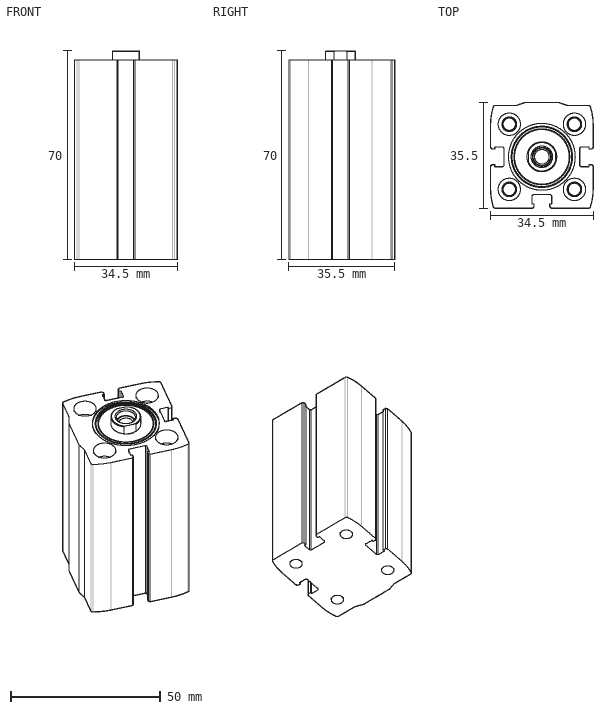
import cadquery as cq
import math

total_height = 70.0
rod_exposed = 3.0
body_height = total_height - rod_exposed
body_width = 34.5
half_width = body_width / 2
pad_rise = 1.0
pad_top_half = 5.7
pad_base_half = 8.55
flank_flat_half = 10.65
flank_radius = 20.3
corner_radius = 0.7

mouth_width = 5.2
mouth_depth = 1.5
mouth_round = 0.4
slot_width = 6.5
slot_depth = 4.55
slot_corner = 0.35

mount_offset = 10.9
mount_diameter = 4.1
lead_in_diameter = 4.9
counterbore_diameter = 7.5
counterbore_depth = 5.95

cap_diameter = 22.4
cap_bevel_diameter = 20.6
ring_diameter = 20.0
ring_bevel_diameter = 18.75
disc_diameter = 18.35
groove_depth = 0.6
land_recess = 0.2
disc_recess = 0.35

rod_diameter = 10.0
rod_bottom = 7.0
rod_chamfer = 0.2
flat_distance = 9.0
flat_length = 4.0
socket_diameter = 6.4
socket_depth = 2.5
socket_chamfer = 0.4
seat_diameter = 5.9
drill_diameter = 4.9
drill_depth = 12.6
point_half_angle = math.radians(60)


def extrusion_block():
    """Square block with curved flanks and a raised pad on +Y."""
    curve_rise = half_width - flank_flat_half

    def flank_inset(rise):
        return flank_radius - math.sqrt(flank_radius**2 - rise**2)

    corner_x = half_width - flank_inset(curve_rise)
    mid_x = half_width - flank_inset(curve_rise / 2)
    mid_y = flank_flat_half + curve_rise / 2
    block = (
        cq.Workplane("XY")
        .moveTo(-corner_x, -half_width)
        .lineTo(corner_x, -half_width)
        .threePointArc((mid_x, -mid_y), (half_width, -flank_flat_half))
        .lineTo(half_width, flank_flat_half)
        .threePointArc((mid_x, mid_y), (corner_x, half_width))
        .lineTo(-corner_x, half_width)
        .threePointArc((-mid_x, mid_y), (-half_width, flank_flat_half))
        .lineTo(-half_width, -flank_flat_half)
        .threePointArc((-mid_x, -mid_y), (-corner_x, -half_width))
        .close()
        .extrude(body_height)
    )
    block = block.edges("|Z and (<Y or >Y)").fillet(corner_radius)
    pad = (
        cq.Workplane("XY")
        .polyline([
            (-pad_base_half, 0),
            (-pad_base_half, half_width),
            (-pad_top_half, half_width + pad_rise),
            (pad_top_half, half_width + pad_rise),
            (pad_base_half, half_width),
            (pad_base_half, 0),
        ])
        .close()
        .extrude(body_height)
    )
    return block.union(pad)


def slot_cutter():
    """T-slot cutter for the -Y face, with a rounded mouth and bevelled floor corners."""
    mouth_half = mouth_width / 2
    slot_half = slot_width / 2
    face_y = -half_width
    neck_y = face_y + mouth_depth
    floor_y = face_y + slot_depth
    return (
        cq.Workplane("XY")
        .moveTo(-mouth_half - mouth_round, face_y)
        .radiusArc((-mouth_half, face_y + mouth_round), mouth_round)
        .lineTo(-mouth_half, neck_y)
        .lineTo(-slot_half, neck_y)
        .lineTo(-slot_half, floor_y - slot_corner)
        .lineTo(-slot_half + slot_corner, floor_y)
        .lineTo(slot_half - slot_corner, floor_y)
        .lineTo(slot_half, floor_y - slot_corner)
        .lineTo(slot_half, neck_y)
        .lineTo(mouth_half, neck_y)
        .lineTo(mouth_half, face_y + mouth_round)
        .radiusArc((mouth_half + mouth_round, face_y), mouth_round)
        .close()
        .extrude(body_height)
    )


def mounting_hole_cutter():
    """Through hole on the Z axis with a conical lead-in and a counterbore from the top."""
    floor_z = body_height - counterbore_depth
    lead_in_z = floor_z - (lead_in_diameter - mount_diameter) / 2
    return (
        cq.Workplane("XZ")
        .polyline([
            (0, 0),
            (mount_diameter / 2, 0),
            (mount_diameter / 2, lead_in_z),
            (lead_in_diameter / 2, floor_z),
            (counterbore_diameter / 2, floor_z),
            (counterbore_diameter / 2, body_height),
            (0, body_height),
        ])
        .close()
        .revolve(360, (0, 0), (0, 1))
    )


def cap_ring_cutter():
    """Two concentric grooves with bevelled inner sides and the sunken disc around the rod."""
    top = body_height
    groove_z = top - groove_depth
    land_z = top - land_recess
    disc_z = top - disc_recess
    return (
        cq.Workplane("XZ")
        .polyline([
            (0, top),
            (cap_diameter / 2, top),
            (cap_diameter / 2, groove_z),
            (cap_bevel_diameter / 2, land_z),
            (ring_diameter / 2, land_z),
            (ring_diameter / 2, groove_z),
            (ring_bevel_diameter / 2, land_z),
            (disc_diameter / 2, land_z),
            (disc_diameter / 2, disc_z),
            (0, disc_z),
        ])
        .close()
        .revolve(360, (0, 0), (0, 1))
    )


def make_housing():
    housing = extrusion_block()
    for angle in (-90, 0, 90):
        housing = housing.cut(slot_cutter().rotate((0, 0, 0), (0, 0, 1), angle))
    for x in (-mount_offset, mount_offset):
        for y in (-mount_offset, mount_offset):
            housing = housing.cut(mounting_hole_cutter().translate((x, y, 0)))
    rod_bore = (
        cq.Workplane("XY", origin=(0, 0, rod_bottom))
        .circle(rod_diameter / 2)
        .extrude(body_height - rod_bottom)
    )
    return housing.cut(cap_ring_cutter()).cut(rod_bore)


def rod_socket_cutter():
    """Chamfered socket stepping down through a cone to a pointed drill hole."""
    socket_z = total_height - socket_depth
    drill_top_z = socket_z - (seat_diameter - drill_diameter) / 2
    drill_z = total_height - drill_depth
    point_height = drill_diameter / 2 / math.tan(point_half_angle)
    return (
        cq.Workplane("XZ")
        .polyline([
            (0, total_height),
            (socket_diameter / 2 + socket_chamfer, total_height),
            (socket_diameter / 2, total_height - socket_chamfer),
            (socket_diameter / 2, socket_z),
            (seat_diameter / 2, socket_z),
            (drill_diameter / 2, drill_top_z),
            (drill_diameter / 2, drill_z),
            (0, drill_z - point_height),
        ])
        .close()
        .revolve(360, (0, 0), (0, 1))
    )


def wrench_flat_cutter(side):
    """Cutter for the flat on one X side (-1 or 1), running out at 45 degrees."""
    flat_x = flat_distance / 2
    rod_x = rod_diameter / 2
    flat_z = total_height - flat_length
    return (
        cq.Workplane("XZ")
        .polyline([
            (side * flat_x, total_height),
            (side * flat_x, flat_z),
            (side * rod_x, flat_z - (rod_x - flat_x)),
            (side * rod_x, total_height),
        ])
        .close()
        .extrude(rod_x, both=True)
    )


def make_piston_rod():
    rod = (
        cq.Workplane("XY", origin=(0, 0, rod_bottom))
        .circle(rod_diameter / 2)
        .extrude(total_height - rod_bottom)
        .faces(">Z")
        .chamfer(rod_chamfer)
    )
    for side in (-1, 1):
        rod = rod.cut(wrench_flat_cutter(side))
    return rod.cut(rod_socket_cutter())


housing = make_housing()
piston_rod = make_piston_rod()
result = cq.Compound.makeCompound([housing.val(), piston_rod.val()])